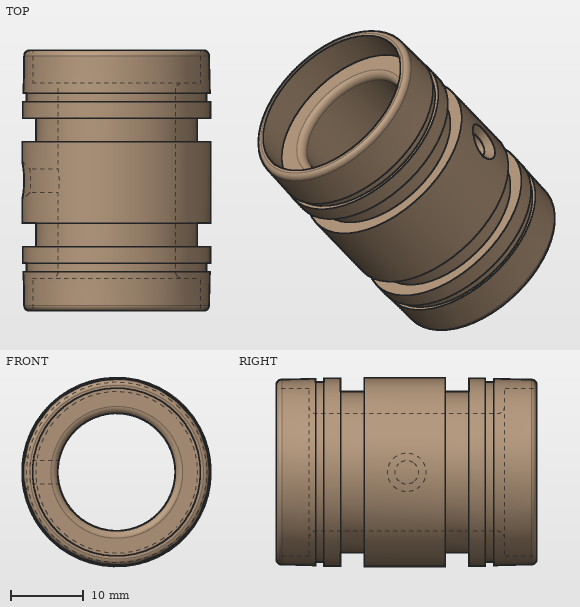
import cadquery as cq

length = 35.78
land_diameter = 25.95
half_length = length / 2

pattern_centre = -0.25

land_radius = land_diameter / 2
wide_groove_radius = 11.1
ring_radius = 12.9
narrow_groove_radius = 12.38
collar_radius = 12.85
rim_radius = 12.7

land_half_width = 5.58
wide_groove_end = land_half_width + 3.22
ring_end = wide_groove_end + 2.3
narrow_groove_end = ring_end + 1.15

bore_radius = 8.05
counterbore_radius = 11.52
counterbore_depth = 4.47

hole_radius = 1.6
hole_chamfer = 1.05

mouth_fillet = 1.0
rim_fillet = 0.8


def make_outside():
    """Solid of revolution with the stepped outside, before the bore is cut."""
    front_groove = pattern_centre - narrow_groove_end
    front_ring = pattern_centre - ring_end
    front_wide = pattern_centre - wide_groove_end
    front_land = pattern_centre - land_half_width
    back_land = pattern_centre + land_half_width
    back_wide = pattern_centre + wide_groove_end
    back_ring = pattern_centre + ring_end
    back_groove = pattern_centre + narrow_groove_end
    outline = [
        (0, -half_length),
        (rim_radius, -half_length),
        (collar_radius, front_groove),
        (narrow_groove_radius, front_groove),
        (narrow_groove_radius, front_ring),
        (ring_radius, front_ring),
        (ring_radius, front_wide),
        (wide_groove_radius, front_wide),
        (wide_groove_radius, front_land),
        (land_radius, front_land),
        (land_radius, back_land),
        (wide_groove_radius, back_land),
        (wide_groove_radius, back_wide),
        (ring_radius, back_wide),
        (ring_radius, back_ring),
        (narrow_groove_radius, back_ring),
        (narrow_groove_radius, back_groove),
        (collar_radius, back_groove),
        (rim_radius, half_length),
        (0, half_length),
    ]
    profile = cq.Workplane("XY").polyline(outline).close()
    outside = profile.revolve(360, (0, 0, 0), (0, 1, 0))
    return outside.faces("<Y or >Y").edges().fillet(rim_fillet)


def cut_bore(body):
    """Cut the through bore and counterbores, with rounded bore mouths."""
    seat = half_length - counterbore_depth
    mouth_start = seat - mouth_fillet
    mouth_radius = bore_radius + mouth_fillet
    cavity = (
        cq.Workplane("XY")
        .moveTo(0, -half_length)
        .lineTo(counterbore_radius, -half_length)
        .lineTo(counterbore_radius, -seat)
        .lineTo(mouth_radius, -seat)
        .radiusArc((bore_radius, -mouth_start), mouth_fillet)
        .lineTo(bore_radius, mouth_start)
        .radiusArc((mouth_radius, seat), mouth_fillet)
        .lineTo(counterbore_radius, seat)
        .lineTo(counterbore_radius, half_length)
        .lineTo(0, half_length)
        .close()
        .revolve(360, (0, 0, 0), (0, 1, 0))
    )
    return body.cut(cavity)


def cut_radial_hole(body):
    """Drill through the -X wall only and chamfer the outer mouth."""
    hole = cq.Workplane("YZ").circle(hole_radius).extrude(-land_diameter)
    body = body.cut(hole)
    mouth = cq.selectors.BoxSelector(
        (-land_diameter, -2 * hole_radius, -2 * hole_radius),
        (-wide_groove_radius, 2 * hole_radius, 2 * hole_radius),
        boundingbox=True,
    )
    return body.edges(mouth).chamfer(hole_chamfer)


result = cut_radial_hole(cut_bore(make_outside()))